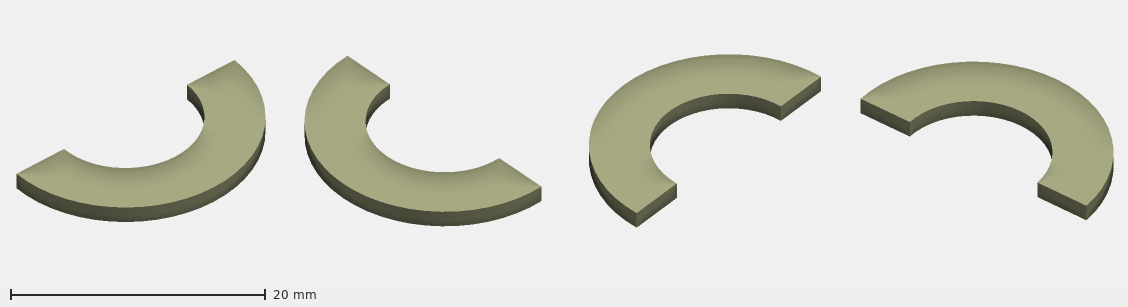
import cadquery as cq

outer_diameter = 22.0
inner_diameter = 12.4
thickness = 1.5

outer_radius = outer_diameter / 2
inner_radius = inner_diameter / 2

outline = (
    cq.Workplane("XY")
    .moveTo(0, -outer_radius)
    .threePointArc((outer_radius, 0), (0, outer_radius))
    .lineTo(0, inner_radius)
    .threePointArc((inner_radius, 0), (0, -inner_radius))
    .close()
)

result = outline.extrude(thickness)